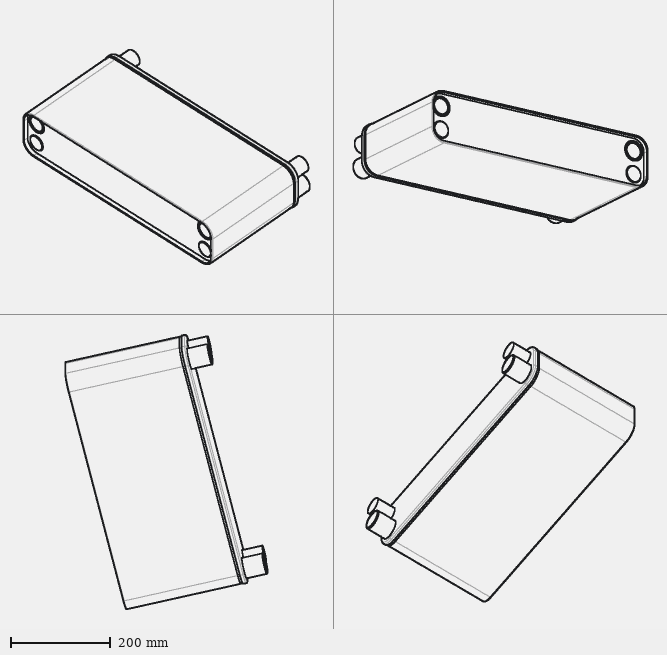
import cadquery as cq

LENGTH = 527.5
HEIGHT = 113.0
CORNER_RADIUS = 30.5

PACK_INSET = 1.3
PACK_DEPTH = 235.5
TRAY_DEPTH = 10.0
RIM_WALL = 3.5
RIM_ROUNDING = 1.5

SEAL_THICKNESS = 4.0
COVER_THICKNESS = 9.5
COVER_ROUNDING = 3.0
COVER_LIP_ROUNDING = 1.0

PORT_X = 233.5
PORT_Z = 25.0
LARGE_RADIUS = 21.0
SMALL_RADIUS = 18.0
LARGE_PROJECTION = 44.0
SMALL_PROJECTION = 41.0
LARGE_TIP_CHAMFER = 2.0
DOME_SKIRT_HEIGHT = 1.5
DOME_CROWN_RADIUS = 16.5
DOME_CROWN_HEIGHT = 3.5
RECESS_DEPTH = 1.5
RECESS_FLOOR_RADIUS = 18.5

seal_front = PACK_DEPTH
cover_front = seal_front + SEAL_THICKNESS


def rounded_block(inset, front, depth):
    """Block with rounded long edges, inset from the overall outline, from Y = front backwards."""
    return (
        cq.Workplane("XZ", origin=(0, front, 0))
        .rect(LENGTH - 2 * inset, HEIGHT - 2 * inset)
        .extrude(-depth)
        .edges("|Y")
        .fillet(CORNER_RADIUS - inset)
    )


def rod(x, z, radius, front, depth):
    """Cylinder along Y that starts at Y = front."""
    return cq.Workplane("XZ", origin=(x, front, z)).circle(radius).extrude(-depth)


def cone(x, z, start_radius, end_radius, start, depth):
    """Truncated cone along Y from Y = start to Y = start + depth."""
    return (
        cq.Workplane("XZ", origin=(x, start, z))
        .circle(start_radius)
        .workplane(offset=-depth)
        .circle(end_radius)
        .loft()
    )


def dome(x, z, base):
    """Low dome that bulges towards -Y from Y = base: a steep conical skirt under a spherical crown."""
    skirt_top = base - DOME_SKIRT_HEIGHT
    skirt = cone(x, z, SMALL_RADIUS, DOME_CROWN_RADIUS, base, -DOME_SKIRT_HEIGHT)
    sphere_radius = (DOME_CROWN_RADIUS**2 + DOME_CROWN_HEIGHT**2) / (2 * DOME_CROWN_HEIGHT)
    crown_top = skirt_top - DOME_CROWN_HEIGHT
    ball = cq.Workplane("XY", origin=(x, crown_top + sphere_radius, z)).sphere(sphere_radius)
    crown = ball.intersect(rod(x, z, DOME_CROWN_RADIUS, crown_top, DOME_CROWN_HEIGHT))
    return skirt.union(crown)


def make_pack():
    """Main block with the front tray; the domes over the large ports sit in conical recesses."""
    pack = rounded_block(PACK_INSET, 0, PACK_DEPTH).faces("<Y").edges().fillet(RIM_ROUNDING)
    pack = pack.cut(rounded_block(PACK_INSET + RIM_WALL, 0, TRAY_DEPTH))
    for x in (-PORT_X, PORT_X):
        pack = pack.cut(cone(x, PORT_Z, LARGE_RADIUS, RECESS_FLOOR_RADIUS, TRAY_DEPTH, RECESS_DEPTH))
        pack = pack.union(dome(x, PORT_Z, TRAY_DEPTH + RECESS_DEPTH))
        pack = pack.union(dome(x, -PORT_Z, TRAY_DEPTH))
    return pack


def make_seal_plate():
    """Thin plate between the pack and the cover."""
    return rounded_block(PACK_INSET, seal_front, SEAL_THICKNESS)


def make_cover():
    """Back cover, slightly wider than the pack, with a through hole for each pipe."""
    cover = rounded_block(0, cover_front, COVER_THICKNESS)
    cover = cover.faces(">Y").edges().fillet(COVER_ROUNDING)
    cover = cover.faces("<Y").edges().fillet(COVER_LIP_ROUNDING)
    for x in (-PORT_X, PORT_X):
        cover = cover.cut(rod(x, -PORT_Z, LARGE_RADIUS, cover_front, COVER_THICKNESS))
        cover = cover.cut(rod(x, PORT_Z, SMALL_RADIUS, cover_front, COVER_THICKNESS))
    return cover


def make_large_pipe(x):
    """Lower pipe, set through the cover, with a chamfered tip."""
    pipe = rod(x, -PORT_Z, LARGE_RADIUS, cover_front, COVER_THICKNESS + LARGE_PROJECTION)
    return pipe.faces(">Y").edges().chamfer(LARGE_TIP_CHAMFER)


def make_small_pipe(x):
    """Upper pipe, set through the cover, with a plain tip."""
    return rod(x, PORT_Z, SMALL_RADIUS, cover_front, COVER_THICKNESS + SMALL_PROJECTION)


pack = make_pack()
seal_plate = make_seal_plate()
cover = make_cover()
pipes = []
for side_x in (-PORT_X, PORT_X):
    pipes.append(make_large_pipe(side_x).val())
    pipes.append(make_small_pipe(side_x).val())

result = cq.Compound.makeCompound([pack.val(), seal_plate.val(), cover.val(), *pipes])